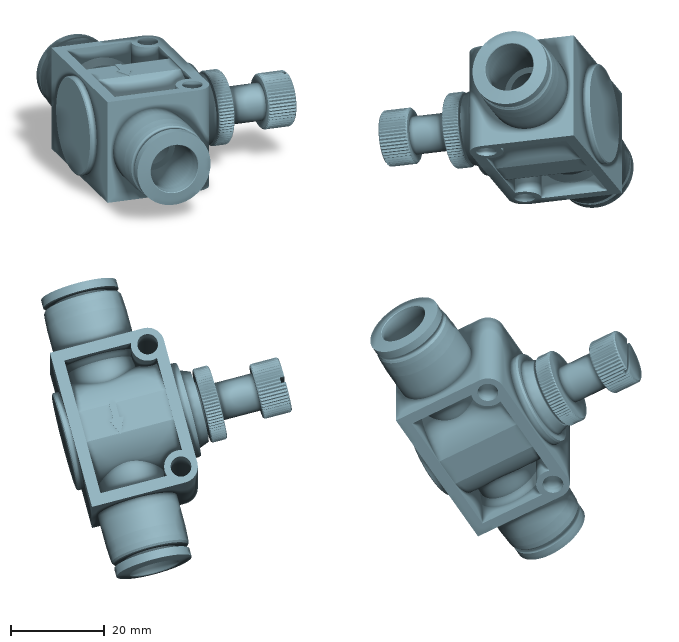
import cadquery as cq
import math


frame_length = 34.7
frame_height = 23.0
frame_back_y = 14.2
frame_front_y = -10.0
window_half_length = 14.9
window_back_y = 11.7
window_front_y = -7.5
corner_radius = 3.6
mount_hole_radius = 2.2

body_radius = 11.65
body_flat_width = 6.7
body_flat_z = math.sqrt(body_radius**2 - (body_flat_width / 2) ** 2)
hub_radius = 7.4
hub_flare_x = 13.75

arrow_half_length = 3.6
arrow_head_half_width = 1.65
arrow_shaft_half_width = 0.7
arrow_height = 0.2

port_tip_x = 31.5
port_rim_x = 31.1
collar_inner_x = 29.3
port_end_x = 28.35
port_chamfer_x = 27.9
port_bend_x = 26.7
port_taper_x = 24.25
port_radius = 8.75
port_bend_radius = 8.6
port_end_radius = 8.5
port_nose_radius = 8.2
collar_radius = 8.3
collar_neck_radius = 5.9
socket_radius = 5.35
socket_mouth_radius = 5.5
socket_mouth_chamfer = 0.1
socket_bottom_x = frame_length / 2
bore_radius = 4.05

cap_radius = 10.7
cap_front_y = -11.45
cap_chamfer = 0.25

bonnet_radius = 10.4
bonnet_shoulder_y = 15.95
bonnet_chamfer_width = 0.2
bonnet_chamfer_drop = 0.45
cone_base_radius = 8.7
cone_top_radius = 7.75
cone_top_y = 18.35
thread_radius = 5.3
nut_bottom_y = 18.85
nut_top_y = 22.35
nut_radius = 8.1
nut_chamfer = 0.3
nut_teeth = 72
stem_radius = 4.1
knob_bottom_y = 30.9
knob_top_y = 37.25
knob_radius = 6.05
knob_chamfer = 0.4
knob_teeth = 50
knurl_depth = 0.3
slot_width = 1.2
slot_depth = 1.0


def disc_along_y(radius, start_y, end_y):
    """Round bar on the screw axis between two Y positions."""
    return cq.Workplane("XZ", origin=(0, start_y, 0)).circle(radius).extrude(start_y - end_y)


def block(x_size, start_y, end_y, z_size):
    """Box centred on X and Z between two Y positions."""
    return cq.Workplane("XY").box(x_size, end_y - start_y, z_size).translate((0, (start_y + end_y) / 2, 0))


def revolve_about_x(points):
    """Solid of revolution from (x, radius) points."""
    return cq.Workplane("XY").polyline(points).close().revolve(360, (0, 0, 0), (1, 0, 0))


def both_ends(shape):
    """The shape together with its mirror image across the YZ plane."""
    return shape.union(shape.mirror("YZ"))


def make_frame():
    """Open frame with bossed back corners, and the two mounting holes to cut through it."""
    corner_x = frame_length / 2 - corner_radius
    corner_y = frame_back_y - corner_radius
    corners = cq.Workplane("XY", origin=(0, 0, -frame_height / 2)).pushPoints(
        [(-corner_x, corner_y), (corner_x, corner_y)]
    )
    outer = block(frame_length, frame_front_y, frame_back_y, frame_height)
    outer = outer.edges("|Z and >Y").fillet(corner_radius)
    window = block(2 * window_half_length, window_front_y, window_back_y, frame_height)
    bosses = corners.circle(corner_radius).extrude(frame_height)
    holes = corners.circle(mount_hole_radius).extrude(frame_height)
    return outer.cut(window).union(bosses), holes


def make_body():
    barrel = disc_along_y(body_radius, window_front_y, window_back_y)
    flats = block(2 * body_radius, window_front_y, window_back_y, 2 * body_flat_z)
    return barrel.intersect(flats)


def make_hub():
    """Round neck from the valve body to the frame wall, with a conical flare at the wall."""
    neck = revolve_about_x(
        [
            (0, 0),
            (0, hub_radius),
            (hub_flare_x, hub_radius),
            (window_half_length, port_radius),
            (window_half_length, 0),
        ]
    )
    return neck.intersect(block(2 * window_half_length, window_front_y, window_back_y, frame_height))


def make_port():
    return revolve_about_x(
        [
            (window_half_length, 0),
            (window_half_length, port_radius),
            (port_taper_x, port_radius),
            (port_bend_x, port_bend_radius),
            (port_chamfer_x, port_end_radius),
            (port_end_x, port_nose_radius),
            (port_end_x, collar_neck_radius),
            (collar_inner_x, collar_neck_radius),
            (collar_inner_x, collar_radius),
            (port_rim_x, collar_radius),
            (port_tip_x, socket_mouth_radius),
            (port_tip_x, 0),
        ]
    )


def make_passage():
    """Tube socket with a chamfered mouth, leading into the flow bore."""
    return revolve_about_x(
        [
            (0, 0),
            (0, bore_radius),
            (socket_bottom_x, bore_radius),
            (socket_bottom_x, socket_radius),
            (port_tip_x - socket_mouth_chamfer, socket_radius),
            (port_tip_x, socket_mouth_radius),
            (port_tip_x, 0),
        ]
    )


def make_arrow():
    return (
        cq.Workplane("XY")
        .polyline(
            [
                (-arrow_half_length, -arrow_shaft_half_width),
                (0, -arrow_shaft_half_width),
                (0, -arrow_head_half_width),
                (arrow_half_length, 0),
                (0, arrow_head_half_width),
                (0, arrow_shaft_half_width),
                (-arrow_half_length, arrow_shaft_half_width),
            ]
        )
        .close()
        .extrude(body_flat_z + arrow_height)
    )


def make_cap():
    return disc_along_y(cap_radius, cap_front_y, frame_front_y).faces("<Y").chamfer(cap_chamfer)


def make_bonnet():
    shell = (
        cq.Workplane("XY")
        .polyline(
            [
                (0, frame_back_y),
                (bonnet_radius, frame_back_y),
                (bonnet_radius, bonnet_shoulder_y - bonnet_chamfer_drop),
                (bonnet_radius - bonnet_chamfer_width, bonnet_shoulder_y),
                (cone_base_radius, bonnet_shoulder_y),
                (cone_top_radius, cone_top_y),
                (0, cone_top_y),
            ]
        )
        .close()
        .revolve(360, (0, 0, 0), (0, 1, 0))
    )
    thread = disc_along_y(thread_radius, cone_top_y, nut_bottom_y)
    return shell.union(thread)


def make_knurled_disc(radius, start_y, end_y, chamfer, teeth):
    """Disc with straight V knurling around its rim and both edges chamfered."""
    outline = []
    for step in range(2 * teeth):
        angle = math.pi * step / teeth
        reach = radius - knurl_depth * (step % 2)
        outline.append((reach * math.cos(angle), reach * math.sin(angle)))
    knurl = cq.Workplane("XZ", origin=(0, start_y, 0)).polyline(outline).close().extrude(start_y - end_y)
    return knurl.intersect(disc_along_y(radius, start_y, end_y).edges().chamfer(chamfer))


def make_screw():
    nut = make_knurled_disc(nut_radius, nut_bottom_y, nut_top_y, nut_chamfer, nut_teeth)
    stem = disc_along_y(stem_radius, nut_top_y, knob_bottom_y)
    knob = make_knurled_disc(knob_radius, knob_bottom_y, knob_top_y, knob_chamfer, knob_teeth)
    slot = block(slot_width, knob_top_y - slot_depth, knob_top_y, 2 * knob_radius)
    return nut.union(stem).union(knob.cut(slot))


frame, mount_holes = make_frame()
result = (
    frame.union(make_body())
    .union(both_ends(make_hub()))
    .union(both_ends(make_port()))
    .union(make_arrow())
    .cut(mount_holes)
    .cut(both_ends(make_passage()))
    .union(make_cap())
    .union(make_bonnet())
    .union(make_screw())
)